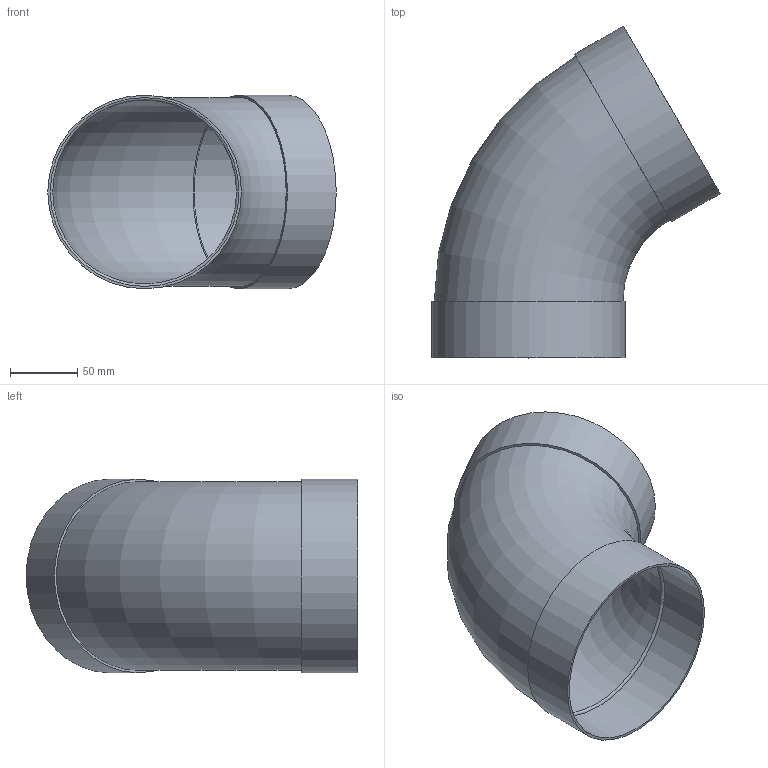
import cadquery as cq
import math

PIPE_DIAMETER = 140.0
WALL = 1.8
BEND_RADIUS = 140.0
BEND_ANGLE = 60.0
INSERTION_DEPTH = 40.0

pipe_radius = PIPE_DIAMETER / 2
bore_radius = pipe_radius - WALL
socket_radius = pipe_radius + WALL
socket_length = INSERTION_DEPTH + WALL

angle = math.radians(BEND_ANGLE)
inlet_point = cq.Vector(0, 0, 0)
inlet_outward = cq.Vector(0, -1, 0)
outlet_point = cq.Vector(BEND_RADIUS * (1 - math.cos(angle)), BEND_RADIUS * math.sin(angle), 0)
outlet_outward = cq.Vector(math.sin(angle), math.cos(angle), 0)


def bend(radius):
    """Solid round bar following the bend centreline."""
    axis_start = (BEND_RADIUS, 0)
    axis_end = (BEND_RADIUS, -1)
    return cq.Workplane("XZ").circle(radius).revolve(BEND_ANGLE, axis_start, axis_end)


def socket_body(end_point, outward):
    """Outside of a socket, starting at the end of the bend."""
    return cq.Workplane(cq.Solid.makeCylinder(socket_radius, socket_length, end_point, outward))


def socket_cavity(end_point, outward):
    """Pipe recess of a socket, with a quarter-round lip leading down to the bend bore."""
    radial = cq.Vector(0, 0, 1)
    section = cq.Plane(origin=end_point, xDir=radial, normal=radial.cross(outward))
    lip_diagonal = WALL * math.sqrt(0.5)
    lip_middle = (pipe_radius - lip_diagonal, lip_diagonal)
    return (
        cq.Workplane(section)
        .lineTo(bore_radius, 0)
        .threePointArc(lip_middle, (pipe_radius, WALL))
        .lineTo(pipe_radius, socket_length)
        .lineTo(0, socket_length)
        .close()
        .revolve(360, (0, 0), (0, 1))
    )


outside = bend(pipe_radius)
cavity = bend(bore_radius)
for end_point, outward in ((inlet_point, inlet_outward), (outlet_point, outlet_outward)):
    outside = outside.union(socket_body(end_point, outward))
    cavity = cavity.union(socket_cavity(end_point, outward))

result = outside.cut(cavity)